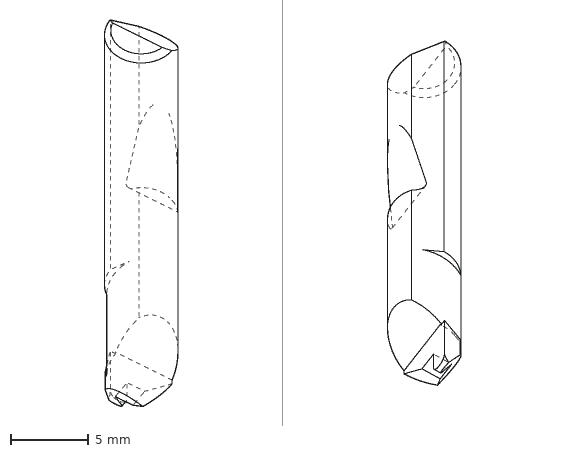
import cadquery as cq
import math

length = 38.1
radius = 2.38
top_chamfer = 0.42
margin = 3.8
reach = radius + margin

flat_distance = 2.15
flat_angle = 153

top_cut_y = -0.45
bottom_cut_z = 4.72

notch_bottom_z = 19.62
notch_corner_y = 0.88
notch_corner_radius = 1.0
notch_top_z = 28.45

relief_bottom_z = 4.57
relief_top_z = 12.7
relief_x = -2.0
relief_radius = 3.6

rake_y = 0
tip_width = 1.3
tip_radius = tip_width / 2
tip_right_x = -radius + tip_width
shoulder_z = 2.25
shoulder_right_x = 0.25
heel_y = -0.35
heel_top_z = 4.3
side_clearance_angle = 22


def box_between(x_range, y_range, z_range):
    """Axis-aligned box given by its limits."""
    sizes = [b - a for a, b in (x_range, y_range, z_range)]
    corner = (x_range[0], y_range[0], z_range[0])
    return cq.Workplane("XY").box(*sizes, centered=False).translate(corner)


def across_x(profile):
    """Closed (y, z) polygon extruded right across the shank."""
    return cq.Workplane("YZ").polyline(profile).close().extrude(reach, both=True)


def shank():
    body = cq.Workplane("XY").circle(radius).extrude(length)
    return body.faces(">Z").chamfer(top_chamfer)


def side_flat():
    cutter = box_between((flat_distance, reach), (-reach, reach), (0, length))
    return cutter.rotate((0, 0, 0), (0, 0, 1), flat_angle)


def top_cut():
    return across_x([
        (top_cut_y, length),
        (reach, length - (reach - top_cut_y)),
        (reach, length),
    ])


def bottom_cut():
    return across_x([
        (rake_y, 0),
        (rake_y, bottom_cut_z + rake_y),
        (reach, bottom_cut_z + reach),
        (reach, 0),
    ])


def clamping_notch():
    cutter = across_x([
        (notch_corner_y, notch_bottom_z),
        (radius, notch_top_z),
        (radius + margin, notch_top_z),
        (radius + margin, notch_bottom_z),
    ])
    return cutter.faces("<Z").edges("<Y").fillet(notch_corner_radius)


def curved_relief():
    height = relief_top_z - relief_bottom_z
    blank = box_between((-reach, 0), (-radius, radius), (relief_bottom_z, relief_top_z))
    core = (
        cq.Workplane("XY", origin=(relief_x + relief_radius, 0, relief_bottom_z))
        .circle(relief_radius)
        .extrude(height)
    )
    return blank.cut(core)


def tip_outline():
    """Space around the tip: everything outside its outline in the XZ plane."""
    shoulder_top_z = shoulder_z + radius - shoulder_right_x
    kept = (
        cq.Workplane("XZ")
        .moveTo(-radius, relief_top_z)
        .lineTo(-radius, tip_radius)
        .threePointArc((-radius + tip_radius, 0), (tip_right_x, tip_radius))
        .lineTo(tip_right_x, shoulder_z)
        .lineTo(shoulder_right_x, shoulder_z)
        .lineTo(radius, shoulder_top_z)
        .lineTo(radius, relief_top_z)
        .close()
        .extrude(reach, both=True)
    )
    return box_between((-reach, reach), (-reach, reach), (0, relief_top_z)).cut(kept)


def heel_cut():
    return across_x([(heel_y, 0), (-radius, heel_top_z), (-radius - margin, heel_top_z), (-reach, 0)])


def side_clearance():
    corner_x = -radius + reach * math.tan(math.radians(side_clearance_angle))
    return (
        cq.Workplane("XY")
        .polyline([(-radius, rake_y), (corner_x, -reach), (-reach, -reach), (-reach, rake_y)])
        .close()
        .extrude(relief_bottom_z)
    )


result = shank()
for cutter in (
    side_flat(),
    top_cut(),
    bottom_cut(),
    clamping_notch(),
    curved_relief(),
    tip_outline(),
    heel_cut(),
    side_clearance(),
):
    result = result.cut(cutter)